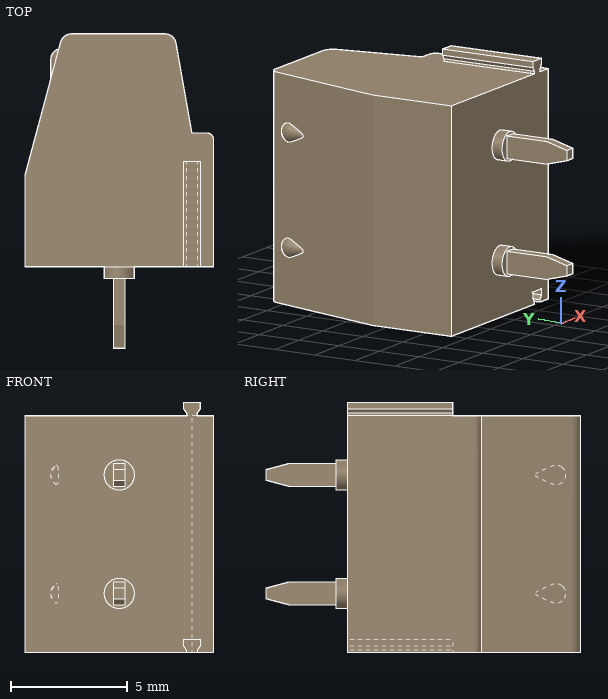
import cadquery as cq
import math

length = 13.5
width = 8.1
body_height = 10.17
pole_count = 2
pitch = body_height / pole_count

pin_length = 3.5
pin_width = 0.5
pin_height = 1.0
tip_height = 0.46
tip_length = 1.0
collar_diameter = 1.3
collar_length = 0.5

body_depth = length - pin_length
left_wall_depth = 3.93
left_slope_angle = math.radians(15)
right_slope_angle = math.radians(10)
step_depth = 5.75
step_x = 3.12
back_radius = 0.5
step_radius = 0.3

rail_x = 3.12
rail_length = 4.52
rail_height = 0.57
rail_width = 0.73
rail_neck_width = 0.46
rail_neck_height = 0.11
rail_head_height = 0.27

bump_radius = 0.5
bump_outer_x = -2.94
bump_center_y = 8.88
bump_cone_length = 1.22

pole_heights = [pitch * (i + 0.5) for i in range(pole_count)]


def make_housing():
    left_back_x = -width / 2 + (body_depth - left_wall_depth) * math.tan(left_slope_angle)
    right_back_x = step_x - (body_depth - step_depth) * math.tan(right_slope_angle)
    outline = [
        (-width / 2, 0),
        (width / 2, 0),
        (width / 2, step_depth),
        (step_x, step_depth),
        (right_back_x, body_depth),
        (left_back_x, body_depth),
        (-width / 2, left_wall_depth),
    ]
    housing = cq.Workplane("XY").polyline(outline).close().extrude(body_height)
    housing = housing.edges("|Z and >Y").fillet(back_radius)
    step_corner = cq.selectors.NearestToPointSelector((width / 2, step_depth, body_height / 2))
    return housing.edges("|Z").edges(step_corner).fillet(step_radius)


def make_rail(base_z):
    """Bar with a narrow neck and a flared head, rising from base_z and running back from Y = 0."""
    right_side = [
        (rail_neck_width / 2, 0),
        (rail_neck_width / 2, rail_neck_height),
        (rail_width / 2, rail_height - rail_head_height),
        (rail_width / 2, rail_height),
    ]
    left_side = [(-x, z) for x, z in reversed(right_side)]
    section = cq.Workplane("XZ", origin=(rail_x, 0, base_z)).polyline(right_side + left_side).close()
    return section.extrude(-rail_length)


def make_pin(z):
    """Flat pin with a tapered tip, standing on a round collar."""
    collar = cq.Workplane("XZ", origin=(0, 0, z)).circle(collar_diameter / 2).extrude(collar_length)
    upper_side = [
        (0, pin_height / 2),
        (tip_length - pin_length, pin_height / 2),
        (-pin_length, tip_height / 2),
    ]
    lower_side = [(y, -half_height) for y, half_height in reversed(upper_side)]
    blade = (
        cq.Workplane("YZ", origin=(0, 0, z))
        .polyline(upper_side + lower_side)
        .close()
        .extrude(pin_width / 2, both=True)
    )
    return collar.union(blade)


def make_bump(z):
    """Ball and tangent cone, revolved about the line from the cone's apex through the ball centre."""
    center = cq.Vector(bump_outer_x + bump_radius, bump_center_y, z)
    apex = cq.Vector(bump_outer_x, bump_center_y - bump_cone_length, z)
    tangent_point = cq.Vector(bump_outer_x, bump_center_y, z)
    axis = (center - apex).normalized()
    ball_end = center + axis * bump_radius
    ball_side = center + cq.Vector(-axis.y, axis.x, 0) * bump_radius
    round_edge = cq.Edge.makeThreePointArc(tangent_point, ball_side, ball_end)
    outline = cq.Wire.assembleEdges(
        [cq.Edge.makeLine(apex, tangent_point), round_edge, cq.Edge.makeLine(ball_end, apex)]
    )
    return cq.Workplane(cq.Solid.revolve(outline, [], 360, apex, ball_end))


result = make_housing().cut(make_rail(0)).union(make_rail(body_height))
for pole_z in pole_heights:
    result = result.union(make_pin(pole_z)).union(make_bump(pole_z))